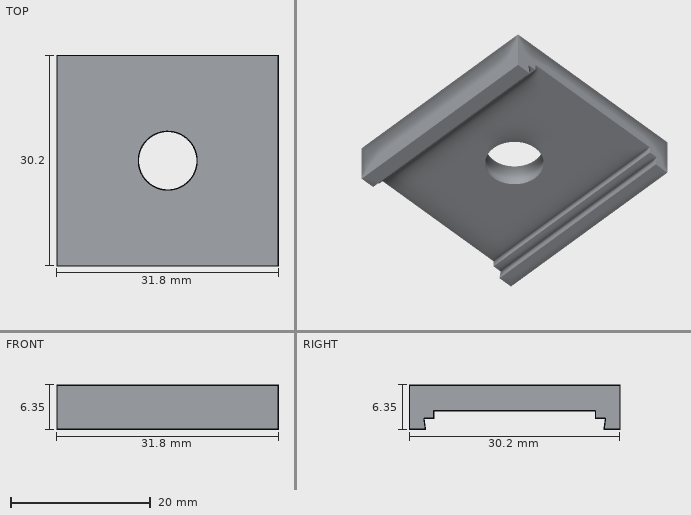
import cadquery as cq

length = 31.75
width = 30.2
height = 6.35

hole_diameter = 8.38

channel_depth = 2.65
shoulder_wall = 3.52
shoulder_height = 1.6
foot_top_width = 2.1
foot_bottom_width = 2.32

half_width = width / 2

half_profile = [
    (0, height),
    (half_width, height),
    (half_width, 0),
    (half_width - foot_bottom_width, 0),
    (half_width - foot_top_width, shoulder_height),
    (half_width - shoulder_wall, shoulder_height),
    (half_width - shoulder_wall, channel_depth),
    (0, channel_depth),
]
half_body = cq.Workplane("YZ").polyline(half_profile).close().extrude(length / 2, both=True)
body = half_body.union(half_body.mirror("XZ")).clean()

hole = cq.Workplane("XY").circle(hole_diameter / 2).extrude(height)
result = body.cut(hole)